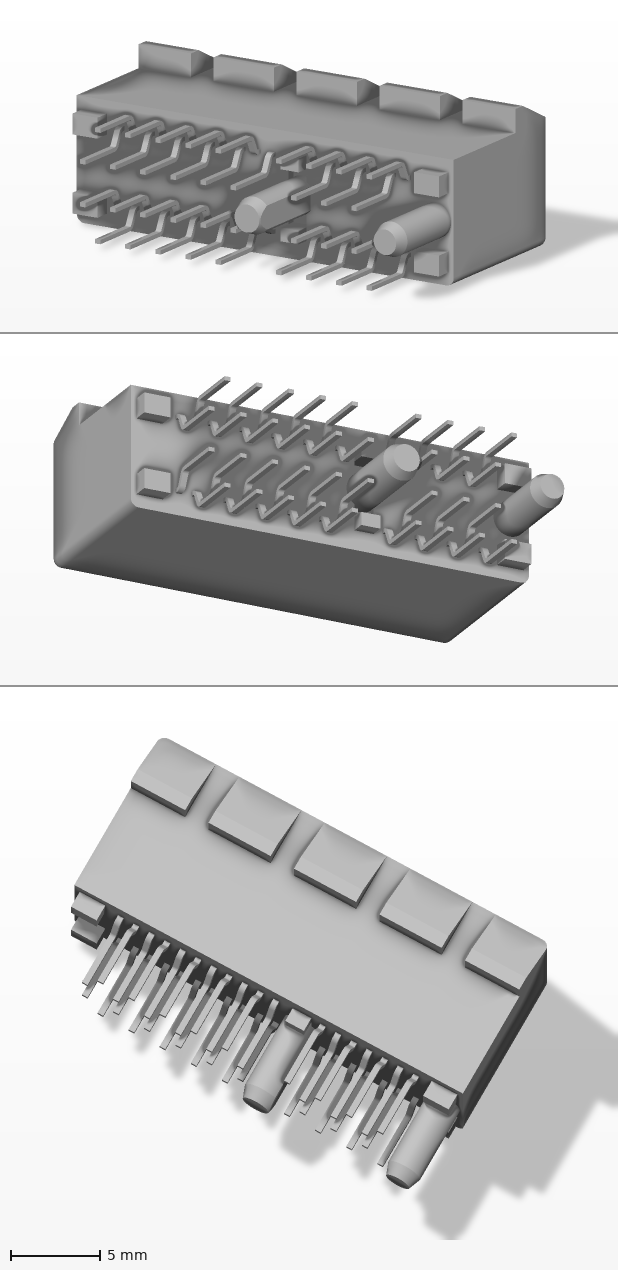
import cadquery as cq
import math

HOUSING_LENGTH = 25.0
HOUSING_DEPTH = 10.05
HOUSING_HEIGHT = 7.4
EDGE_RADIUS = 0.5

TOOTH_TOP = 8.8
TOOTH_DEPTH = 3.55
TOOTH_FLAT = 0.8
TOOTH_GAP = 1.5
TOOTH_PITCH = 5.5
FIRST_GAP_START = 3.5
GAP_COUNT = 4

UPPER_ROW_Z = 5.95
LOWER_ROW_Z = 1.45
PIN_PITCH = 1.0
PIN_GROUPS = ((3.0, 11), (16.0, 7))
PIN_WIDTH = 0.36
PIN_THICKNESS = 0.25
PIN_LENGTH = 4.15
PIN_OFFSET = 1.0
PIN_BEND_START = 0.35
PIN_BEND_END = 0.85
PIN_BEND_INNER_RADIUS = 0.2
PIN_ROOT = 0.3

PEG_Z = 3.7
PEG_LENGTH = 5.35
PEG_TIP_LENGTH = 0.75
PEG_TIP_INSET = 0.28
KEY_PEG_X = 14.65
KEY_PEG_RADIUS = 1.1
KEY_PEG_FLAT = 0.85
PEG_SPACING = 9.15
END_PEG_X = KEY_PEG_X + PEG_SPACING
END_PEG_RADIUS = 1.025

PAD_INNER_HALF_SPAN = 1.7
END_PAD_WIDTH = 1.65
END_PAD_OUTER_HALF_SPAN = 2.92
END_PAD_INSET = 0.35
END_PAD_HEIGHT = 1.0
KEY_PAD_WIDTH = 1.2
KEY_PAD_OUTER_HALF_SPAN = 2.5
KEY_PAD_HEIGHT = 0.85
KEY_RECESS_DEPTH = 0.5


def box(x_min, x_max, y_min, y_max, z_min, z_max):
    size = (x_max - x_min, y_max - y_min, z_max - z_min)
    return cq.Workplane("XY").box(*size, centered=False).translate((x_min, y_min, z_min))


def make_housing():
    """Block with a sloped rear ridge, notched into teeth, and rounded lower and rear edges."""
    ridge_front = HOUSING_DEPTH - TOOTH_DEPTH
    housing = (
        cq.Workplane("YZ")
        .moveTo(0, 0)
        .lineTo(HOUSING_DEPTH, 0)
        .lineTo(HOUSING_DEPTH, HOUSING_HEIGHT)
        .lineTo(ridge_front + TOOTH_FLAT, TOOTH_TOP)
        .lineTo(ridge_front, TOOTH_TOP)
        .lineTo(ridge_front, HOUSING_HEIGHT)
        .lineTo(0, HOUSING_HEIGHT)
        .close()
        .extrude(HOUSING_LENGTH)
    )
    rear_uprights = housing.edges("|Z").edges(">Y")
    bottom_edges = housing.faces("<Z").edges("not <Y")
    housing = housing.newObject(rear_uprights.vals() + bottom_edges.vals()).fillet(EDGE_RADIUS)
    for index in range(GAP_COUNT):
        start = FIRST_GAP_START + index * TOOTH_PITCH
        gap = box(start, start + TOOTH_GAP, ridge_front, HOUSING_DEPTH, HOUSING_HEIGHT, TOOTH_TOP)
        housing = housing.cut(gap)
    return housing


def make_pad_pair(x_min, width, outer_half_span, height):
    """Two pads mirrored about the peg centre height."""
    pads = cq.Workplane("XY")
    for side in (1, -1):
        near = PEG_Z + side * PAD_INNER_HALF_SPAN
        far = PEG_Z + side * outer_half_span
        pads = pads.add(box(x_min, x_min + width, -height, 0, min(near, far), max(near, far)))
    return pads.combine()


def make_key_recess():
    """Shallow recess joining the two pads behind the key peg."""
    x_min = KEY_PEG_X - KEY_PAD_WIDTH / 2
    z_min = PEG_Z - PAD_INNER_HALF_SPAN
    z_max = PEG_Z + PAD_INNER_HALF_SPAN
    return box(x_min, x_min + KEY_PAD_WIDTH, 0, KEY_RECESS_DEPTH, z_min, z_max)


def make_peg(x, radius):
    """Round peg with a tapered tip, rooted at the depth of the key recess."""
    shoulder = PEG_LENGTH - PEG_TIP_LENGTH
    return (
        cq.Workplane("XY")
        .moveTo(0, KEY_RECESS_DEPTH)
        .lineTo(radius, KEY_RECESS_DEPTH)
        .lineTo(radius, -shoulder)
        .lineTo(radius - PEG_TIP_INSET, -PEG_LENGTH)
        .lineTo(0, -PEG_LENGTH)
        .close()
        .revolve(360, (0, 0, 0), (0, 1, 0))
        .translate((x, 0, PEG_Z))
    )


def make_key_peg():
    """Key peg with a flat along its right side."""
    flat_x = KEY_PEG_X + KEY_PEG_FLAT
    trim = box(
        flat_x, KEY_PEG_X + KEY_PEG_RADIUS, -PEG_LENGTH, KEY_RECESS_DEPTH,
        PEG_Z - KEY_PEG_RADIUS, PEG_Z + KEY_PEG_RADIUS,
    )
    return make_peg(KEY_PEG_X, KEY_PEG_RADIUS).cut(trim)


def make_pin(x, z, direction):
    """Pin stepped up (direction 1) or down (direction -1) between two rounded bends."""
    half = PIN_THICKNESS / 2
    slope_angle = math.atan2(PIN_OFFSET, PIN_BEND_END - PIN_BEND_START)
    miter = half * math.tan(slope_angle / 2)
    near_y = -PIN_BEND_START
    far_y = -PIN_BEND_END
    far_z = PIN_OFFSET
    pin = (
        cq.Workplane("YZ")
        .moveTo(PIN_ROOT, half)
        .lineTo(near_y + miter, half)
        .lineTo(far_y + miter, far_z + half)
        .lineTo(-PIN_LENGTH, far_z + half)
        .lineTo(-PIN_LENGTH, far_z - half)
        .lineTo(far_y - miter, far_z - half)
        .lineTo(near_y - miter, -half)
        .lineTo(PIN_ROOT, -half)
        .close()
        .extrude(PIN_WIDTH / 2, both=True)
    )
    inner_corners = ((near_y + miter, half), (far_y - miter, far_z - half))
    outer_corners = ((near_y - miter, -half), (far_y + miter, far_z + half))
    outer_radius = PIN_BEND_INNER_RADIUS + PIN_THICKNESS
    for corners, radius in ((inner_corners, PIN_BEND_INNER_RADIUS), (outer_corners, outer_radius)):
        for corner_y, corner_z in corners:
            corner = cq.selectors.NearestToPointSelector((0, corner_y, corner_z))
            pin = pin.edges("|X").edges(corner).fillet(radius)
    if direction < 0:
        pin = pin.mirror("XY")
    return pin.translate((x, 0, z))


def make_pins():
    """Both rows of pins; the lower row bends opposite to the upper one at every position."""
    pins = []
    for first_x, count in PIN_GROUPS:
        for index in range(count):
            x = first_x + index * PIN_PITCH
            upper_direction = 1 if round(x) % 2 == 0 else -1
            pins.append(make_pin(x, UPPER_ROW_Z, upper_direction))
            pins.append(make_pin(x, LOWER_ROW_Z, -upper_direction))
    return pins


left_pad_x = END_PAD_INSET
right_pad_x = HOUSING_LENGTH - END_PAD_INSET - END_PAD_WIDTH
key_pad_x = KEY_PEG_X - KEY_PAD_WIDTH / 2

result = make_housing().cut(make_key_recess())
for pad_x in (left_pad_x, right_pad_x):
    result = result.union(make_pad_pair(pad_x, END_PAD_WIDTH, END_PAD_OUTER_HALF_SPAN, END_PAD_HEIGHT))
result = result.union(make_pad_pair(key_pad_x, KEY_PAD_WIDTH, KEY_PAD_OUTER_HALF_SPAN, KEY_PAD_HEIGHT))
result = result.union(make_key_peg())
result = result.union(make_peg(END_PEG_X, END_PEG_RADIUS))
for contact_pin in make_pins():
    result = result.union(contact_pin)